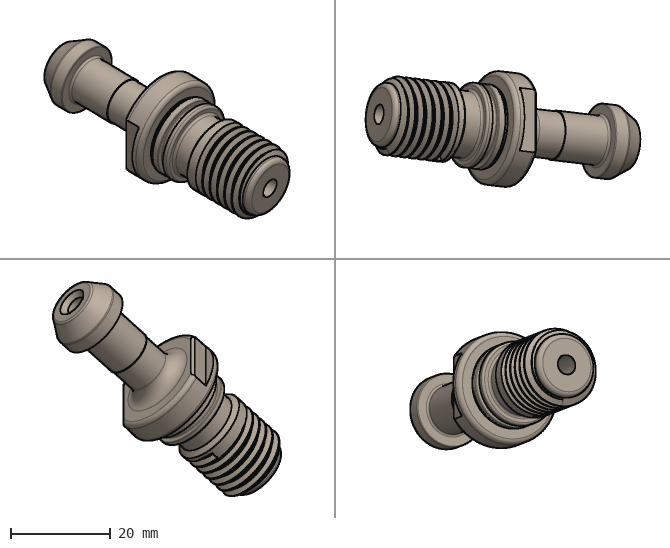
import cadquery as cq
import math

TOTAL_LENGTH = 57.0

HEAD_RADIUS = 7.5
HEAD_LENGTH = 7.0
NOSE_FACE_RADIUS = 4.85
NOSE_CONE_ANGLE = 31.0
NOSE_FILLET = 0.55
HEAD_REAR_FILLET = 0.15

SHANK_FRONT_RADIUS = 5.0
SHANK_REAR_RADIUS = 4.85
SHANK_STEP_X = 17.1
SHANK_FRONT_FILLET = 0.45
SHANK_REAR_FILLET = 3.0

FLANGE_RADIUS = 11.5
FLANGE_START = 26.0
FLANGE_END = 32.0
FLANGE_FILLET = 1.0
FLAT_HALF_WIDTH = 9.5
FLAT_END = 30.0
FLAT_CHAMFER = 0.5

COLLAR_RADIUS = 8.6
COLLAR_START = 32.7
COLLAR_END = 37.0
COLLAR_FILLET = 0.5
RELIEF_RADIUS = 8.4
RELIEF_FILLET = 0.35
SEAL_GROOVE_RADIUS = 7.45
SEAL_GROOVE_START = 34.25
SEAL_GROOVE_END = 35.6
SEAL_EDGE_FILLET = 0.1

NECK_RADIUS = 6.8
NECK_FILLET = 0.5

THREAD_RADIUS = 8.05
THREAD_ROOT_RADIUS = 6.85
THREAD_PITCH = 2.0
THREAD_CHAMFER_START = 40.9
THREAD_CHAMFER_LENGTH = 0.85
THREAD_END = 55.5
THREAD_END_ANGLE = 30.0
THREAD_FLANK_ANGLE = 30.0
THREAD_ROOT_WIDTH = 0.3
THREAD_GROOVE_START = 43.5

PILOT_RADIUS = 6.5
PILOT_FILLET = 1.0

BORE_RADIUS = 2.0
COUNTERSINK_RADIUS = 3.1
COUNTERSINK_DEPTH = 1.1

CUTTER_OVERLAP = 0.35

ARC_MID = math.sqrt(0.5)


def round_outside_rising(outline, x, radius, fillet):
    """Quarter round from the end face at x up to the cylinder of the given radius."""
    mid = (x + fillet * (1 - ARC_MID), radius - fillet * (1 - ARC_MID))
    return outline.lineTo(x, radius - fillet).threePointArc(mid, (x + fillet, radius))


def round_outside_falling(outline, x, radius, fillet):
    """Quarter round from the cylinder of the given radius down to the end face at x."""
    mid = (x - fillet * (1 - ARC_MID), radius - fillet * (1 - ARC_MID))
    return outline.lineTo(x - fillet, radius).threePointArc(mid, (x, radius - fillet))


def round_inside_falling(outline, x, radius, fillet):
    """Hollow round from the face at x down onto the smaller cylinder after it."""
    mid = (x + fillet * (1 - ARC_MID), radius + fillet * (1 - ARC_MID))
    return outline.lineTo(x, radius + fillet).threePointArc(mid, (x + fillet, radius))


def round_inside_rising(outline, x, radius, fillet):
    """Hollow round from the smaller cylinder up into the face at x."""
    mid = (x - fillet * (1 - ARC_MID), radius + fillet * (1 - ARC_MID))
    return outline.lineTo(x - fillet, radius).threePointArc(mid, (x, radius + fillet))


def cone_nose(outline):
    """Front face and cone of the head, with tangent rounds at both ends of the cone."""
    angle = math.radians(NOSE_CONE_ANGLE)
    round_length = NOSE_FILLET * math.sin(angle)
    round_drop = NOSE_FILLET * (1 - math.cos(angle))
    half_length = NOSE_FILLET * math.sin(angle / 2)
    half_drop = NOSE_FILLET * (1 - math.cos(angle / 2))

    face_turn = (math.pi / 2 - angle) / 2
    front_mid = (
        NOSE_FILLET * (1 - math.cos(face_turn)),
        NOSE_FACE_RADIUS + NOSE_FILLET * math.sin(face_turn),
    )
    cone_start_x = NOSE_FILLET - round_length
    cone_start_radius = NOSE_FACE_RADIUS + NOSE_FILLET * math.cos(angle)

    cone_end_radius = HEAD_RADIUS - round_drop
    cone_end_x = cone_start_x + (cone_end_radius - cone_start_radius) / math.tan(angle)
    cylinder_x = cone_end_x + round_length
    rear_mid = (cylinder_x - half_length, HEAD_RADIUS - half_drop)

    outline = outline.lineTo(0, NOSE_FACE_RADIUS)
    outline = outline.threePointArc(front_mid, (cone_start_x, cone_start_radius))
    outline = outline.lineTo(cone_end_x, cone_end_radius)
    return outline.threePointArc(rear_mid, (cylinder_x, HEAD_RADIUS))


def turned_body():
    thread_end_cone = (THREAD_RADIUS - PILOT_RADIUS) * math.tan(math.radians(THREAD_END_ANGLE))

    outline = cq.Workplane("XY").moveTo(0, 0)

    outline = cone_nose(outline)
    outline = round_outside_falling(outline, HEAD_LENGTH, HEAD_RADIUS, HEAD_REAR_FILLET)

    outline = round_inside_falling(outline, HEAD_LENGTH, SHANK_FRONT_RADIUS, SHANK_FRONT_FILLET)
    outline = outline.lineTo(SHANK_STEP_X, SHANK_FRONT_RADIUS).lineTo(SHANK_STEP_X, SHANK_REAR_RADIUS)
    outline = round_inside_rising(outline, FLANGE_START, SHANK_REAR_RADIUS, SHANK_REAR_FILLET)

    outline = round_outside_rising(outline, FLANGE_START, FLANGE_RADIUS, FLANGE_FILLET)
    outline = round_outside_falling(outline, FLANGE_END, FLANGE_RADIUS, FLANGE_FILLET)

    outline = round_outside_rising(outline, FLANGE_END, RELIEF_RADIUS, RELIEF_FILLET)
    outline = outline.lineTo(COLLAR_START, RELIEF_RADIUS).lineTo(COLLAR_START, COLLAR_RADIUS)
    outline = round_outside_falling(outline, SEAL_GROOVE_START, COLLAR_RADIUS, SEAL_EDGE_FILLET)
    outline = round_inside_falling(outline, SEAL_GROOVE_START, SEAL_GROOVE_RADIUS, SEAL_EDGE_FILLET)
    outline = round_inside_rising(outline, SEAL_GROOVE_END, SEAL_GROOVE_RADIUS, SEAL_EDGE_FILLET)
    outline = round_outside_rising(outline, SEAL_GROOVE_END, COLLAR_RADIUS, SEAL_EDGE_FILLET)
    outline = round_outside_falling(outline, COLLAR_END, COLLAR_RADIUS, COLLAR_FILLET)

    outline = round_inside_falling(outline, COLLAR_END, NECK_RADIUS, NECK_FILLET)
    outline = outline.lineTo(THREAD_CHAMFER_START, NECK_RADIUS)
    outline = outline.lineTo(THREAD_CHAMFER_START + THREAD_CHAMFER_LENGTH, THREAD_RADIUS)
    outline = outline.lineTo(THREAD_END - thread_end_cone, THREAD_RADIUS).lineTo(THREAD_END, PILOT_RADIUS)
    outline = round_outside_falling(outline, TOTAL_LENGTH, PILOT_RADIUS, PILOT_FILLET)

    return outline.lineTo(TOTAL_LENGTH, 0).close().revolve(360, (0, 0, 0), (1, 0, 0))


def flat_cutter(side):
    """Removes the flange beyond one flat, with a chamfer at the front edge; side is +1 or -1."""
    outer = FLANGE_RADIUS + CUTTER_OVERLAP
    outline = [
        (FLANGE_START, outer),
        (FLANGE_START, FLAT_HALF_WIDTH - FLAT_CHAMFER),
        (FLANGE_START + FLAT_CHAMFER, FLAT_HALF_WIDTH),
        (FLAT_END, FLAT_HALF_WIDTH),
        (FLAT_END, outer),
    ]
    mirrored = [(x, side * y) for x, y in outline]
    return cq.Workplane("XY").polyline(mirrored).close().extrude(FLANGE_RADIUS, both=True)


def thread_groove_cutter():
    """Right-hand helical V groove, starting on the -Z side and running out past the thread end."""
    outer_radius = THREAD_RADIUS + CUTTER_OVERLAP
    depth = outer_radius - THREAD_ROOT_RADIUS
    half_root = THREAD_ROOT_WIDTH / 2
    half_top = half_root + depth * math.tan(math.radians(THREAD_FLANK_ANGLE))
    run_length = THREAD_END + THREAD_PITCH / 2 - THREAD_GROOVE_START

    helix = cq.Wire.makeHelix(THREAD_PITCH, run_length, THREAD_ROOT_RADIUS)
    section = cq.Workplane("XZ").polyline([
        (THREAD_ROOT_RADIUS, -half_root),
        (outer_radius, -half_top),
        (outer_radius, half_top),
        (THREAD_ROOT_RADIUS, half_root),
    ]).close()
    groove = section.sweep(cq.Workplane(helix), isFrenet=True)
    return groove.rotate((0, 0, 0), (0, 1, 0), 90).translate((THREAD_GROOVE_START, 0, 0))


def bore_cutter():
    outline = [
        (0, 0),
        (0, COUNTERSINK_RADIUS),
        (COUNTERSINK_DEPTH, BORE_RADIUS),
        (TOTAL_LENGTH, BORE_RADIUS),
        (TOTAL_LENGTH, 0),
    ]
    return cq.Workplane("XY").polyline(outline).close().revolve(360, (0, 0, 0), (1, 0, 0))


body = turned_body()
for side in (1, -1):
    body = body.cut(flat_cutter(side))
body = body.cut(thread_groove_cutter())
result = body.cut(bore_cutter())